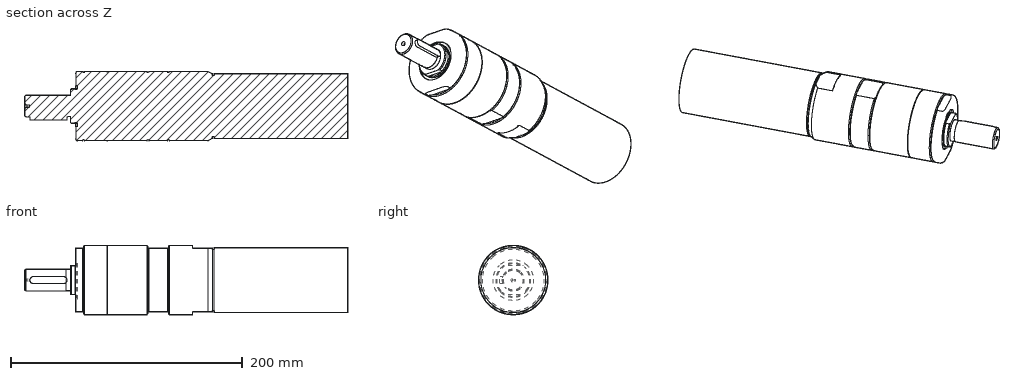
import cadquery as cq
import math


TOTAL_LENGTH = 278.7
SHAFT_STEP_X = 35.5
COLLAR_X = 39.5
FLANGE_X = 44.0
FLANGE_GROOVE_X = 50.8
BODY_GROOVE_X = 71.3
RING_START_GROOVE_X = 106.2
RING_END_GROOVE_X = 123.9
REAR_FLATS_X = 144.9
TAPER_X = 158.2
NECK_X = 161.9
MOTOR_X = 163.3

SHAFT_DIA = 19.0
SHAFT_STEP_DIA = 18.8
SHAFT_TIP_CHAMFER = 1.0
COLLAR_DIA = 29.95
COLLAR_CHAMFER = 0.8
RECESS_DIA = 35.0
RECESS_DEPTH = 1.5
BODY_DIA = 60.0
FLANGE_ROUND = 1.8
V_GROOVE_DIA = 57.96
V_GROOVE_HALF_WIDTH = 0.85
BODY_GROOVE_WIDTH = 0.4
BODY_GROOVE_DEPTH = 0.15
TAPER_END_DIA = 56.0
NECK_DIA = 53.18
MOTOR_DIA = 56.0

COLLAR_FLATS = 25.0
BODY_FLATS = 55.0
KEY_LENGTH = 32.0
KEY_WIDTH = 6.0
KEY_CENTRE_X = 20.5
KEY_TOP = 12.0
CENTRE_DRILL_DIA = 1.55
CENTRE_SINK_DIA = 3.6
CENTRE_SINK_ANGLE = 60.0
CENTRE_DRILL_DEPTH = 4.0


def cylinder(start, end, diameter):
    """Solid cylinder on the X axis between two stations."""
    return cq.Workplane("YZ", origin=(start, 0, 0)).circle(diameter / 2).extrude(end - start)


def revolve_profile(points):
    """Solid of revolution about X from (station, radius) points."""
    return cq.Workplane("XY").polyline(points).close().revolve(360, (0, 0, 0), (1, 0, 0))


def across_flats(start, end, distance):
    """Two slabs that trim a round section to flats facing +Z and -Z."""
    size = BODY_DIA + 2
    length = end - start
    block = cq.Workplane("XY").box(length, size, size)
    kept = cq.Workplane("XY").box(length, size, distance)
    return block.cut(kept).translate(((start + end) / 2, 0, 0))


def make_shaft():
    front = cylinder(0, SHAFT_STEP_X, SHAFT_DIA).faces("<X").edges().chamfer(SHAFT_TIP_CHAMFER)
    return front.union(cylinder(SHAFT_STEP_X, COLLAR_X, SHAFT_STEP_DIA))


def make_key():
    """Round-ended key standing on the -Y side of the shaft."""
    return (
        cq.Workplane("XZ")
        .center(KEY_CENTRE_X, 0)
        .slot2D(KEY_LENGTH, KEY_WIDTH)
        .extrude(KEY_TOP)
    )


def make_collar():
    collar = cylinder(COLLAR_X, FLANGE_X, COLLAR_DIA).faces("<X or >X").edges().chamfer(COLLAR_CHAMFER)
    return collar.cut(across_flats(COLLAR_X, FLANGE_X, COLLAR_FLATS))


def make_gearbox():
    radius = BODY_DIA / 2
    gearbox = revolve_profile([
        (FLANGE_X, 0),
        (FLANGE_X, radius),
        (TAPER_X, radius),
        (NECK_X, TAPER_END_DIA / 2),
        (NECK_X, 0),
    ])
    gearbox = gearbox.faces("<X").edges().fillet(FLANGE_ROUND)
    for station in (FLANGE_GROOVE_X, RING_START_GROOVE_X, RING_END_GROOVE_X):
        gearbox = gearbox.cut(v_groove(station))
    gearbox = gearbox.cut(body_groove())
    for start, end in (
        (FLANGE_X, FLANGE_GROOVE_X),
        (RING_START_GROOVE_X, RING_END_GROOVE_X),
        (REAR_FLATS_X, NECK_X),
    ):
        gearbox = gearbox.cut(across_flats(start, end, BODY_FLATS))
    return gearbox.cut(face_recess())


def v_groove(station):
    """Ring with a triangular section, point towards the axis."""
    return revolve_profile([
        (station, V_GROOVE_DIA / 2),
        (station - V_GROOVE_HALF_WIDTH, BODY_DIA / 2),
        (station + V_GROOVE_HALF_WIDTH, BODY_DIA / 2),
    ])


def body_groove():
    start = BODY_GROOVE_X - BODY_GROOVE_WIDTH / 2
    end = BODY_GROOVE_X + BODY_GROOVE_WIDTH / 2
    bottom_dia = BODY_DIA - 2 * BODY_GROOVE_DEPTH
    return cylinder(start, end, BODY_DIA).cut(cylinder(start, end, bottom_dia))


def face_recess():
    """Shallow ring sunk into the flange face, leaving a chamfered round hub behind the collar."""
    end = FLANGE_X + RECESS_DEPTH
    hub = cylinder(FLANGE_X, end, COLLAR_DIA).faces("<X").edges().chamfer(COLLAR_CHAMFER)
    return cylinder(FLANGE_X, end, RECESS_DIA).cut(hub)


def make_motor():
    neck = cylinder(NECK_X, MOTOR_X, NECK_DIA)
    return neck.union(cylinder(MOTOR_X, TOTAL_LENGTH, MOTOR_DIA))


def centre_hole():
    """Countersunk centre drilling in the shaft tip."""
    sink_radius = CENTRE_SINK_DIA / 2
    drill_radius = CENTRE_DRILL_DIA / 2
    sink_depth = (sink_radius - drill_radius) / math.tan(math.radians(CENTRE_SINK_ANGLE / 2))
    return revolve_profile([
        (0, 0),
        (0, sink_radius),
        (sink_depth, drill_radius),
        (CENTRE_DRILL_DEPTH, drill_radius),
        (CENTRE_DRILL_DEPTH, 0),
    ])


result = (
    make_shaft()
    .union(make_key())
    .union(make_collar())
    .union(make_gearbox())
    .union(make_motor())
    .cut(centre_hole())
)